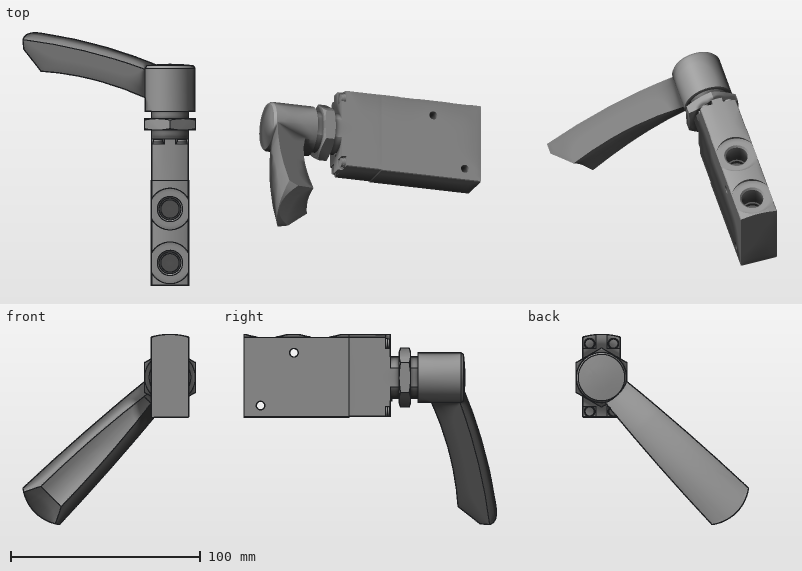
import cadquery as cq
import math


block_width = 20.0
block_length = 55.2
block_top = 22.8
block_bottom = -21.0
crown_rise = 1.3
edge_chamfer = 0.4
port_places = (11.8, 40.2)
port_diameter = 11.5
port_chamfer = 0.9
port_depth = 12.0
port_step_diameter = 9.7
port_step_depth = 14.0
spotface_diameter = 22.0
spotface_depth = 1.6
mount_hole_diameter = 4.4
mount_hole_places = ((26.4, 13.0), (8.8, -14.8))

cap_width = 19.6
cap_top = block_top
cap_bottom = -20.6
cap_end = 77.2
stem_diameter = 22.0
stem_end = 91.6
recess_depth = 2.7
recess_inner_x = 2.8
recess_inner_z = 15.3
recess_size = 13.3
screw_flange_diameter = 5.6
screw_flange_height = 1.0
screw_head_diameter = 4.8
screw_head_height = 2.3
screw_x = 6.3
screw_z = 17.8
stud_diameter = 2.4
stud_height = 0.8
stud_z = -11.0

nut_start = 81.7
nut_thickness = 6.1
nut_across_flats = 27.0
nut_face_diameter = 26.6
nut_chamfer_height = 0.8

hub_diameter = 26.4
hub_edge = 114.4
hub_chamfer_width = 0.9
hub_chamfer_height = 1.3
hub_dome_rise = 0.8

lever_turn = 135
draft_angle = 20
wedge_apex = 92.0
back_radius = 439.3
back_crest = (142.3, 135.1)
back_crown_radius = 30.6
belly_radius = 242.3
belly_crest = (101.2, 114.5)
belly_groove_radius = 21.3
root_y = 95.2
root_middle = (14.1, 97.6)
root_end = (16.6, 99.2)
tip_start = 77.7
tip_radius = 22.8
bevel_start = (88.5, 114.0)
bevel_end = (100.2, 132.2)
bevel_hollow_radius = 42.6
lever_margin = 6.7


def along_y(diameter, start, length, x=0.0, z=0.0):
    """Cylinder parallel to Y."""
    return cq.Workplane(cq.Solid.makeCylinder(diameter / 2, length, cq.Vector(x, start, z), cq.Vector(0, 1, 0)))


def domed_prism(width, bottom, top, start, end):
    """Bar along Y with flat sides, a domed top and chamfered long edges."""
    half = width / 2
    inner = half - edge_chamfer
    edge = top - crown_rise
    return (
        cq.Workplane("XZ", origin=(0, start, 0))
        .moveTo(-inner, bottom)
        .lineTo(inner, bottom)
        .lineTo(half, bottom + edge_chamfer)
        .lineTo(half, edge - edge_chamfer)
        .lineTo(inner, edge)
        .threePointArc((0, top), (-inner, edge))
        .lineTo(-half, edge - edge_chamfer)
        .lineTo(-half, bottom + edge_chamfer)
        .close()
        .extrude(start - end)
    )


def make_block():
    block = domed_prism(block_width, block_bottom, block_top, 0, block_length)
    floor = block_top - spotface_depth
    mouth_diameter = port_diameter + 2 * port_chamfer
    for y in port_places:
        seat = cq.Workplane("XY", origin=(0, y, floor))
        spotface = seat.circle(spotface_diameter / 2).extrude(2 * spotface_depth)
        bore = seat.circle(port_diameter / 2).extrude(-port_depth)
        step = seat.circle(port_step_diameter / 2).extrude(-port_step_depth)
        mouth = cq.Workplane(
            cq.Solid.makeCone(
                mouth_diameter / 2, port_diameter / 2, port_chamfer, cq.Vector(0, y, floor), cq.Vector(0, 0, -1)
            )
        )
        block = block.cut(spotface).cut(bore).cut(step).cut(mouth)
    holes = (
        cq.Workplane("YZ")
        .pushPoints(mount_hole_places)
        .circle(mount_hole_diameter / 2)
        .extrude(block_width, both=True)
    )
    return block.cut(holes)


def make_stem():
    """Threaded stem with two flats level with the cap sides."""
    length = stem_end - cap_end
    flats = cq.Workplane("XY").box(cap_width, length, stem_diameter).translate((0, cap_end + length / 2, 0))
    return along_y(stem_diameter, cap_end, length).intersect(flats)


def make_cap():
    cap = domed_prism(cap_width, cap_bottom, cap_top, block_length, cap_end)
    floor = cap_end - recess_depth
    for side_x in (-1, 1):
        for side_z in (-1, 1):
            recess = (
                cq.Workplane("XY")
                .box(recess_size, recess_depth, recess_size)
                .translate(
                    (
                        side_x * (recess_inner_x + recess_size / 2),
                        floor + recess_depth / 2,
                        side_z * (recess_inner_z + recess_size / 2),
                    )
                )
            )
            place = (side_x * screw_x, side_z * screw_z)
            flange = along_y(screw_flange_diameter, floor, screw_flange_height, *place)
            head = along_y(screw_head_diameter, floor, screw_head_height, *place)
            cap = cap.cut(recess).union(flange).union(head)
    stud = along_y(stud_diameter, cap_end, stud_height, 0, stud_z)
    return cap.union(make_stem()).union(stud)


def make_nut():
    across_corners = nut_across_flats / math.cos(math.radians(30))
    nut_end = nut_start + nut_thickness
    hexagon = (
        cq.Workplane("XZ", origin=(0, nut_start, 0))
        .transformed(rotate=(0, 0, 90))
        .polygon(6, across_corners)
        .extrude(-nut_thickness)
    )
    blank = (
        cq.Workplane("XY")
        .polyline(
            [
                (0, nut_start),
                (nut_face_diameter / 2, nut_start),
                (across_corners / 2, nut_start + nut_chamfer_height),
                (across_corners / 2, nut_end - nut_chamfer_height),
                (nut_face_diameter / 2, nut_end),
                (0, nut_end),
            ]
        )
        .close()
        .revolve(360, (0, 0, 0), (0, 1, 0))
    )
    return hexagon.intersect(blank).cut(along_y(stem_diameter, nut_start, nut_thickness))


def make_hub():
    radius = hub_diameter / 2
    rim_radius = radius - hub_chamfer_width
    rim_y = hub_edge + hub_chamfer_height
    dome_radius = (rim_radius**2 + hub_dome_rise**2) / (2 * hub_dome_rise)
    middle_x = rim_radius / 2
    middle_y = rim_y + hub_dome_rise - dome_radius + math.sqrt(dome_radius**2 - middle_x**2)
    return (
        cq.Workplane("XY")
        .moveTo(0, stem_end)
        .lineTo(radius, stem_end)
        .lineTo(radius, hub_edge)
        .lineTo(rim_radius, rim_y)
        .threePointArc((middle_x, middle_y), (0, rim_y + hub_dome_rise))
        .close()
        .revolve(360, (0, 0, 0), (0, 1, 0))
    )


def arched_ring(crest, arch_radius, section_radius):
    """Ring of round section, its highest outer point at the crest; it shapes a face curved both ways."""
    return cq.Workplane(
        cq.Solid.makeTorus(
            arch_radius - section_radius,
            section_radius,
            cq.Vector(crest[0], crest[1] - arch_radius, 0),
            cq.Vector(0, 0, 1),
        )
    )


def make_tip_cutter():
    """Round bar whose near side follows the middle line of the tip bevel."""
    run = bevel_end[0] - bevel_start[0]
    rise = bevel_end[1] - bevel_start[1]
    line = cq.Vector(run, rise, 0).normalized()
    outward = cq.Vector(rise, -run, 0).normalized()
    reach = 2 * bevel_hollow_radius
    foot = cq.Vector(*bevel_start) + outward * bevel_hollow_radius - line * (reach / 2)
    return cq.Workplane(cq.Solid.makeCylinder(bevel_hollow_radius, reach, foot, line))


def make_lever():
    blank_top = back_crest[1] + lever_margin
    root = (
        cq.Workplane("XY")
        .moveTo(0, root_y)
        .lineTo(hub_diameter / 2, root_y)
        .threePointArc(root_middle, root_end)
        .lineTo(root_end[0], root_end[1] + lever_margin)
        .lineTo(0, root_end[1] + lever_margin)
        .close()
        .extrude(tip_radius, both=True)
    )
    wedge_half = (blank_top - wedge_apex) * math.tan(math.radians(draft_angle))
    wedge = (
        cq.Workplane("YZ")
        .polyline([(wedge_apex, 0), (blank_top, wedge_half), (blank_top, -wedge_half)])
        .close()
        .extrude(tip_start + tip_radius)
    )
    plan = (
        cq.Workplane("XZ")
        .moveTo(0, -tip_radius)
        .lineTo(tip_start, -tip_radius)
        .threePointArc((tip_start + tip_radius, 0), (tip_start, tip_radius))
        .lineTo(0, tip_radius)
        .close()
        .extrude(-blank_top)
    )
    back = arched_ring(back_crest, back_radius, back_crown_radius)
    belly = arched_ring(belly_crest, belly_radius, belly_groove_radius)
    lever = plan.cut(belly).union(root).intersect(wedge).intersect(back).cut(make_tip_cutter())
    return lever.rotate((0, 0, 0), (0, 1, 0), lever_turn)


def make_handle():
    return make_hub().union(make_lever())


block = make_block()
cap = make_cap()
nut = make_nut()
handle = make_handle()

result = cq.Compound.makeCompound([block.val(), cap.val(), nut.val(), handle.val()])